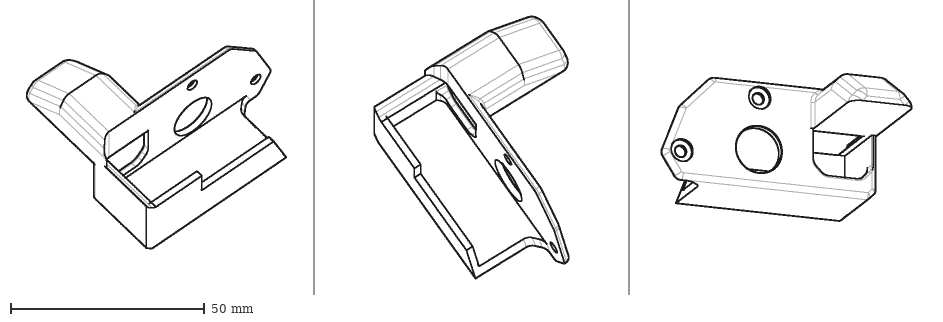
import cadquery as cq
import math

height = 28.45
width_y = 59.0

soft_leg = 3.0
soft_radius = 3.0
soft_reach = soft_leg + soft_radius * math.tan(math.pi / 8)

plate_thick = 2.05
plate_edge_radius = 1.5
plate_corner_radius = 2.0
foot_chamfer = 2.0
foot_radius = 1.0
plate_top_y = 45.55
plate_shoulder = (54.2, 19.8)
plate_tip = (59.25, 6.85)
plate_bottom_y = 54.8

thumb_length = 27.9
thumb_slope_run = 14.0
thumb_slope_angle = 30.0
thumb_width = 17.6
thumb_bottom = 17.2
thumb_root_radius = 0.9

tray_right = 22.05
tray_end_y = 47.5
floor_thick = 3.2
back_wall_thick = 1.95
front_wall_thick = 1.4
fairing_overlap = 0.05
fairing_sink = 0.1
front_wall_top = 20.8
low_wall_top = 10.8
high_wall_top = thumb_bottom
high_wall_end_y = 18.9

back_wall_inner = tray_right - back_wall_thick
end_lean_angle = 21.6
pocket_corner_end = plate_thick + soft_reach

window_y = (front_wall_thick, 17.5)
window_bottom = 5.0
mouth_radius = 0.55
big_hole_diameter = 12.5
big_hole_at = (32.75, 9.9)
big_hole_chamfer = 0.2
screw_diameter = 3.2
screw_head_diameter = 6.0
screw_head_depth = 1.0
screw_places = [(32.5, 23.95), (54.0, 7.5)]


def rounded_outline(plane, corners):
    """Closed outline through (u, v, radius) corners; a zero radius stays sharp."""
    ends = []
    count = len(corners)
    for i, (u, v, radius) in enumerate(corners):
        corner = cq.Vector(u, v)
        before = (cq.Vector(*corners[i - 1][:2]) - corner).normalized()
        after = (cq.Vector(*corners[(i + 1) % count][:2]) - corner).normalized()
        half_angle = before.getAngle(after) / 2
        reach = radius / math.tan(half_angle)
        to_middle = radius / math.sin(half_angle) - radius
        middle = corner + (before + after).normalized() * to_middle
        ends.append((corner + before * reach, middle, corner + after * reach, radius))
    outline = cq.Workplane(plane).moveTo(*ends[0][2].toTuple()[:2])
    for start, middle, end, radius in ends[1:] + ends[:1]:
        outline = outline.lineTo(*start.toTuple()[:2])
        if radius > 0:
            outline = outline.threePointArc(middle.toTuple()[:2], end.toTuple()[:2])
    return outline.close()


def box(x_range, y_range, z_range):
    """Block filling the given ranges."""
    sizes = [end - start for start, end in (x_range, y_range, z_range)]
    corner = (x_range[0], y_range[0], z_range[0])
    return cq.Workplane("XY").box(*sizes, centered=False).translate(corner)


def edges_in(x_range, y_range, z_range):
    """Selector for edges whose centre lies in the given ranges."""
    margin = 0.005
    low, high = zip(x_range, y_range, z_range)
    return cq.selectors.BoxSelector([v - margin for v in low], [v + margin for v in high])


def make_plate():
    """Flat plate with all edges of its outer face rounded."""
    corners = [
        (foot_chamfer, 0, foot_radius),
        (plate_bottom_y, 0, plate_corner_radius),
        (*plate_tip, plate_corner_radius),
        (*plate_shoulder, plate_corner_radius),
        (plate_top_y, height, plate_corner_radius),
        (soft_leg, height, soft_radius),
        (0, height - soft_leg, soft_radius),
        (0, foot_chamfer, foot_radius),
    ]
    plate = rounded_outline("YZ", corners).extrude(plate_thick)
    return plate.faces("<X").edges().fillet(plate_edge_radius)


def make_thumb():
    """Thumb rest, running through the plate as far as the pocket's rounded corner."""
    bend_x = thumb_slope_run - thumb_length
    drop = thumb_slope_run * math.tan(math.radians(thumb_slope_angle))
    low = thumb_bottom - 3 * soft_leg
    short_of_root = pocket_corner_end - 0.6
    side = [
        (-thumb_length, low),
        (pocket_corner_end, low),
        (pocket_corner_end, height),
        (bend_x, height),
        (-thumb_length, height - drop),
    ]
    thumb = cq.Workplane("XZ").polyline(side).close().extrude(-thumb_width)

    across = (0, thumb_width)
    long_edges = edges_in((0.6 - thumb_length, short_of_root), across, (thumb_bottom, height))
    upper_edges = edges_in((-thumb_length, short_of_root), across, (low + 0.6, height))
    bend_edges = edges_in((bend_x, bend_x + soft_leg / 2), across, (thumb_bottom, height))
    thumb = thumb.faces("<Y or >Y").edges(long_edges).chamfer(soft_leg)
    thumb = thumb.edges(upper_edges - bend_edges).fillet(soft_radius)
    return thumb.intersect(box((-thumb_length, pocket_corner_end), across, (thumb_bottom, height)))


def make_fairing_space():
    """Space above the walls, cut so that the front wall top curves up to a sharp edge."""
    above = height + 0.6
    beyond = width_y + 0.6
    corner_z = high_wall_top - fairing_sink
    section = [
        (beyond, above, 0),
        (-fairing_overlap, above, 0),
        (-fairing_overlap, corner_z + soft_leg, soft_radius),
        (soft_leg - fairing_overlap, corner_z, soft_radius),
        (beyond, corner_z, 0),
    ]
    space = rounded_outline("YZ", section).extrude(tray_right)
    return space.intersect(box((0, tray_right), (-0.6, beyond), (high_wall_top, above)))


def make_pocket():
    """Space inside the walls, with a soft upright corner between plate and front wall."""
    beyond = width_y + 0.6
    plan = [
        (plate_thick, beyond, 0),
        (plate_thick, soft_leg, soft_radius),
        (plate_thick + soft_leg, 0, soft_radius),
        (tray_right, 0, 0),
        (tray_right, beyond, 0),
    ]
    inside = box((plate_thick, back_wall_inner), (front_wall_thick, beyond), (floor_thick, high_wall_top))
    upright = rounded_outline("XY", plan).extrude(height + 0.6)
    return upright.intersect(inside.union(make_fairing_space()))


def make_tray():
    """Block behind the plate with a stepped back edge, closed by a leaning end."""
    section = [
        (foot_chamfer, 0, foot_radius),
        (width_y, 0, 0),
        (width_y, low_wall_top, 0),
        (high_wall_end_y, low_wall_top, 0),
        (high_wall_end_y, front_wall_top, 0),
        (0, front_wall_top, 0),
        (0, foot_chamfer, foot_radius),
    ]
    tray = rounded_outline("YZ", section).extrude(tray_right - plate_thick)
    tray = tray.translate((plate_thick, 0, 0))

    lean = math.radians(end_lean_angle)
    leaning = cq.Plane((0, tray_end_y, 0), (1, 0, 0), (0, -math.sin(lean), math.cos(lean)))
    flare = [
        (tray_right, -2 * width_y, 0),
        (tray_right, 0, 0),
        (plate_thick + soft_leg, 0, soft_radius),
        (plate_thick, soft_leg, soft_radius),
        (plate_thick, 2 * width_y, 0),
        (0, 2 * width_y, 0),
        (0, -2 * width_y, 0),
    ]
    envelope = rounded_outline(leaning, flare).extrude(2 * height, both=True)
    return tray.intersect(envelope)


def make_window():
    """Window cutter with a bell mouth opening on the outer plate face."""
    left, right = window_y
    above = 2 * height
    outline = [
        (left, above, 0),
        (left, window_bottom + soft_leg, soft_radius),
        (left + soft_leg, window_bottom, soft_radius),
        (right - soft_leg, window_bottom, soft_radius),
        (right, window_bottom + soft_leg, soft_radius),
        (right, above, 0),
    ]
    hole = rounded_outline("YZ", outline).extrude(pocket_corner_end)
    slab = box((-height, 0), (-height, width_y), (-height, above))
    cutter = hole.union(slab)
    mouth = edges_in((0, 0), window_y, (0, height))
    cutter = cutter.edges(mouth).fillet(mouth_radius)
    opening = box((0, pocket_corner_end), (0, width_y), (0, thumb_bottom))
    return cutter.intersect(opening)


def drill(places, diameter, depth):
    """Cylinders entering the plate from its outer face."""
    return cq.Workplane("YZ").pushPoints(places).circle(diameter / 2).extrude(depth)


def make_round_holes():
    big_rim = cq.Workplane("YZ").pushPoints([big_hole_at]).circle(big_hole_diameter / 2 + big_hole_chamfer)
    holes = drill([big_hole_at], big_hole_diameter, plate_thick)
    holes = holes.union(big_rim.extrude(big_hole_chamfer, taper=45))
    holes = holes.union(drill(screw_places, screw_diameter, plate_thick))
    return holes.union(drill(screw_places, screw_head_diameter, screw_head_depth))


def make_rest_on_plate():
    """Plate and thumb rest joined, with a rounded root on the plate face."""
    joined = make_plate().union(make_thumb())
    root = edges_in((0, 0), (thumb_width - soft_leg, thumb_width), (thumb_bottom, height))
    return joined.edges(root).fillet(thumb_root_radius)


body = make_rest_on_plate().union(make_tray())
result = body.cut(make_pocket()).cut(make_window()).cut(make_round_holes())